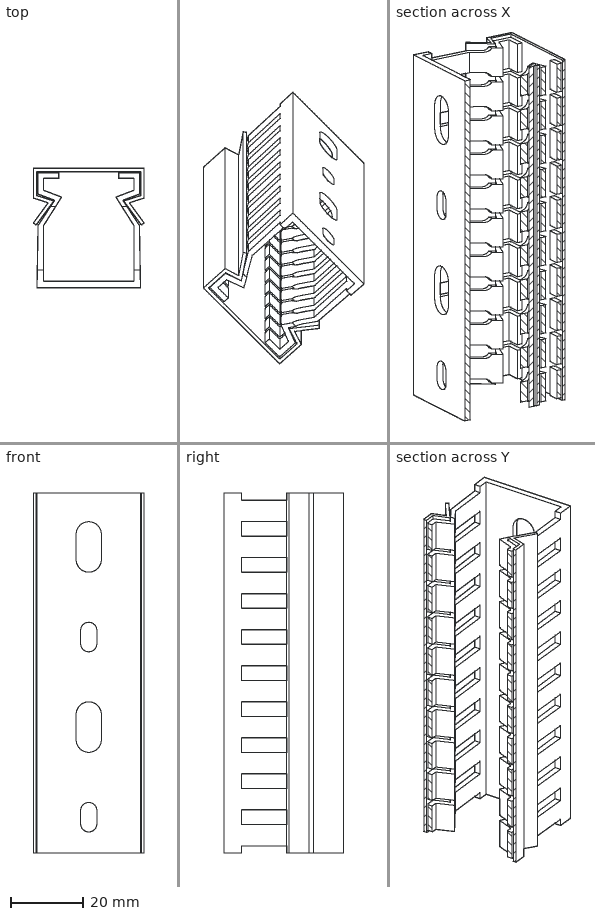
import cadquery as cq

length = 100.0

cover_half_width = 15.4
cover_top = 33.2
cover_thickness = 1.0
cover_skirt_bottom = 24.9
cover_valley_x = 11.3
cover_valley_y = 23.6
cover_lip_y = 18.0

floor_thickness = 1.9
floor_half_width = 14.4
cavity_half_width = 12.5
bend_y = 17.3
neck_outer_x = 9.5
neck_outer_y = 24.3
neck_inner_x = 7.5
neck_inner_y = 25.2
hook_thickness = 1.6
hook_half_width = cavity_half_width + hook_thickness
hook_outer_base_y = 26.0
hook_inner_base_y = 27.1
hook_top = 32.0
hook_tip_x = 8.3

slot_pitch = 10.0
slot_width = 4.0
slot_bottom = 4.9
slot_round_y = 20.7
gap_width = 1.6

large_slot_length = 14.0
large_slot_width = 7.0
small_slot_length = 8.2
small_slot_width = 4.5
mounting_pitch = 50.0
large_slot_start = 35.0
small_slot_start = 10.0
mounting_slots_per_size = 2


def mirrored(points):
    """Reverse a half outline onto the other side of X = 0."""
    return [(-x, y) for x, y in reversed(points)]


def extrude_outline(points):
    return cq.Workplane("XY").polyline(points).close().extrude(length)


def inner_line(points):
    """Shift an open line sideways by the cover thickness, with mitred corners."""
    directions = []
    for start, end in zip(points, points[1:]):
        directions.append((cq.Vector(*end) - cq.Vector(*start)).normalized())
    before = directions[:1] + directions
    after = directions + directions[-1:]
    shifted = []
    for (x, y), d1, d2 in zip(points, before, after):
        miter = cover_thickness / (1 + d1.dot(d2))
        shifted.append((x + (d1.y + d2.y) * miter, y - (d1.x + d2.x) * miter))
    return shifted


def make_cover():
    half = [
        (cover_half_width, cover_top),
        (cover_half_width, cover_skirt_bottom),
        (cover_valley_x, cover_valley_y),
        (cover_half_width, cover_lip_y),
    ]
    outer = mirrored(half) + half
    return extrude_outline(outer + inner_line(outer)[::-1])


def make_duct_body():
    outer_half = [
        (floor_half_width, 0),
        (hook_half_width, bend_y),
        (neck_outer_x, neck_outer_y),
        (hook_half_width, hook_outer_base_y),
        (hook_half_width, hook_top),
        (hook_tip_x, hook_top),
    ]
    inner_half = [
        (hook_tip_x, hook_top - hook_thickness),
        (cavity_half_width, hook_top - hook_thickness),
        (cavity_half_width, hook_inner_base_y),
        (neck_inner_x, neck_inner_y),
        (cavity_half_width, bend_y),
        (cavity_half_width, floor_thickness),
    ]
    half = outer_half + inner_half
    return extrude_outline(half + mirrored(half))


def side_slot_cutter(z):
    """Slot with a round end, continued towards the cover by the narrow gap between fingers."""
    through = 2 * cover_half_width
    round_end = slot_width / 2
    wide = (
        cq.Workplane("YZ", origin=(0, 0, z))
        .moveTo(slot_bottom, -round_end)
        .lineTo(slot_round_y, -round_end)
        .threePointArc((slot_round_y + round_end, 0), (slot_round_y, round_end))
        .lineTo(slot_bottom, round_end)
        .close()
        .extrude(through / 2, both=True)
    )
    gap = (
        cq.Workplane("XY")
        .box(through, cover_top - slot_round_y, gap_width, centered=(True, False, True))
        .translate((0, slot_round_y, z))
    )
    return wide.union(gap)


def mounting_slots(first_z, slot_length, width):
    centres = [(0, first_z + i * mounting_pitch) for i in range(mounting_slots_per_size)]
    return (
        cq.Workplane("XZ")
        .pushPoints(centres)
        .slot2D(slot_length, width, 90)
        .extrude(-floor_thickness)
    )


def make_duct():
    duct = make_duct_body()
    for i in range(round(length / slot_pitch) + 1):
        duct = duct.cut(side_slot_cutter(i * slot_pitch))
    duct = duct.cut(mounting_slots(large_slot_start, large_slot_length, large_slot_width))
    return duct.cut(mounting_slots(small_slot_start, small_slot_length, small_slot_width))


cover = make_cover()
duct = make_duct()
result = cq.Compound.makeCompound([cover.val(), duct.val()])